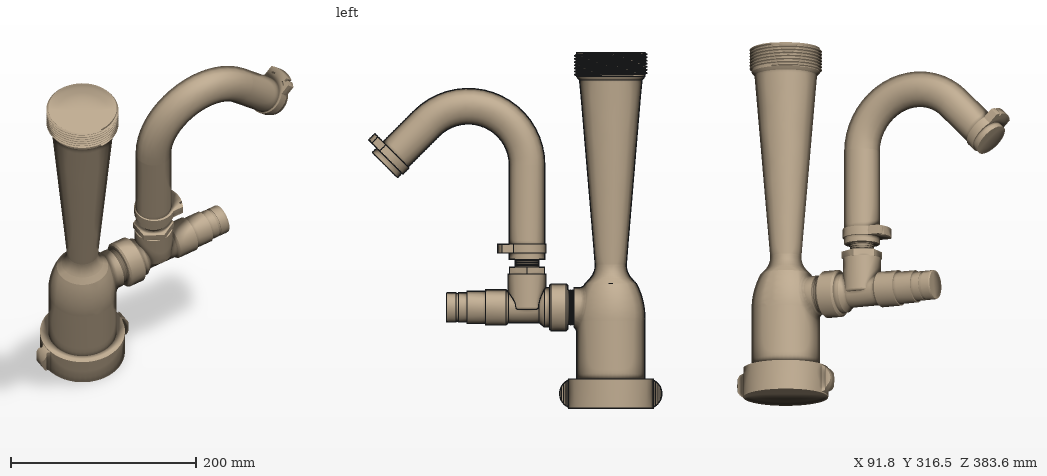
import cadquery as cq
import math

TOTAL_HEIGHT = 383.58

COLLAR_DIAMETER = 91.75
COLLAR_HEIGHT = 31.75
LUG_REACH = 55.22
LUG_SIDE_RADIUS = 16.0
LUG_ROOT_HALF_WIDTH = 6.9
LUG_NECK_HALF_WIDTH = 4.75
LUG_HEAD_HALF_WIDTH = 7.95
LUG_TIP_HALF_WIDTH = 5.2
LUG_NECK_LENGTH = 3.0
LUG_HEAD_FLARE = 2.5
LUG_TIP_CHAMFER = 2.0

BODY_RADIUS = 73.81 / 2
DOME_START = 93.9
DOME_END = 134.4
DOME_END_RADIUS = 27.8
DOME_MIDDLE = (34.4, 117.0)
SHOULDER_TOP = 140.2
SHOULDER_TOP_RADIUS = 22.3
NECK_MIDDLE = (18.4, 146.5)
NECK_TOP = 155.0
NECK_RADIUS = 16.9
NOZZLE_TOP = 354.2
NOZZLE_TOP_RADIUS = 33.8

THREAD_PITCH = 3.387
THREAD_TURNS = 7
THREAD_CREST_RADIUS = 77.9 / 2
THREAD_ROOT_RADIUS = BODY_RADIUS
THREAD_START = 359.1
THREAD_FLANK_OVERLAP = 0.2
THREAD_BASE_WIDTH = 2.9
THREAD_CREST_WIDTH = 0.5
THREAD_RELIEF_HEIGHT = 3.5

BRANCH_HEIGHT = 108.9
BOSS_RADIUS = 42.88 / 2
BOSS_FACE = 39.7
BOSS_FILLET = 6.0
SEARCH_MARGIN = 1.0
RUN_INNER_END = 20.0
GLAND_RADIUS = 37.9 / 2
GLAND_GROOVE_DEPTH = 0.8
GLAND_PITCH = 2.0
NUT_START = 46.2
NUT_END = 66.2
NUT_RADIUS = 50.8 / 2
NUT_CHAMFER = 1.9
SWIVEL_RADIUS = 42.88 / 2
SWIVEL_SHOULDER = 71.5
SWIVEL_CONE_END = 77.3
RUN_RADIUS = 33.34 / 2
TAIL_CONE_START = 110.5
TAIL_START = 113.2
TAIL_RADIUS = 38.48 / 2
SPIGOT_START = 135.1
SPIGOT_RADIUS = 34.92 / 2
TIP_START = 155.2
TIP_RADIUS = 31.75 / 2
TIP_END = 177.4
TIP_CHAMFER_LENGTH = 1.6
TIP_CHAMFER_DEPTH = 0.4
TIP_GROOVE_START = 164.2
TIP_GROOVE_WIDTH = 2.8
TIP_GROOVE_RADIUS = 30.16 / 2

UPRIGHT_Y = 90.3
UPRIGHT_RADIUS = 41.27 / 2
UPRIGHT_BOTTOM = 106.4
UPRIGHT_BOTTOM_FILLET = 2.5
UPRIGHT_TOP = 144.8
HEX_TOP = 152.2
HEX_ACROSS_FLATS = 38.1
STEM_RADIUS = 26.19 / 2
STEM_GROOVE_RADIUS = 23.67 / 2
STEM_PITCH = 2.4
STEM_GROOVE_WIDTH = 1.0

HOSE_RADIUS = 38.48 / 2
HOSE_BOTTOM = 160.8
HOSE_STRAIGHT = 101.6
BEND_START = HOSE_BOTTOM + HOSE_STRAIGHT
BEND_RADIUS = 63.5
BEND_ANGLE = 135.0
OUTLET_STRAIGHT = 63.5

CLAMP_SETBACK = 6.7
CLAMP_WIDTH = 9.5
CLAMP_BAND_RADIUS = 21.8
CLAMP_OFFSET = 1.15
CLAMP_HEAD_REACH = 31.75
CLAMP_HEAD_HALF_WIDTH = 17.0
CLAMP_NOTCH_WIDTH = 2.8
CLAMP_NOTCH_POSITION = 10.4
CLAMP_NOTCH_DEPTH = 5.0
CLAMP_SLOT_LENGTH = 5.5
CLAMP_SLOT_WIDTH = 2.0
CLAMP_SLOT_DEPTH = 3.0
CLAMP_SLOT_RADIUS = 25.3
CLAMP_SLOT_ANGLE = 22.0


def nozzle_and_body():
    """Body, dome, neck, conical nozzle and thread core as one turned solid."""
    profile = (
        cq.Workplane("XZ")
        .moveTo(0, 0)
        .lineTo(BODY_RADIUS, 0)
        .lineTo(BODY_RADIUS, DOME_START)
        .threePointArc(DOME_MIDDLE, (DOME_END_RADIUS, DOME_END))
        .lineTo(SHOULDER_TOP_RADIUS, SHOULDER_TOP)
        .threePointArc(NECK_MIDDLE, (NECK_RADIUS, NECK_TOP))
        .lineTo(NOZZLE_TOP_RADIUS, NOZZLE_TOP)
        .lineTo(THREAD_ROOT_RADIUS, NOZZLE_TOP + THREAD_RELIEF_HEIGHT)
        .lineTo(THREAD_ROOT_RADIUS, TOTAL_HEIGHT)
        .lineTo(0, TOTAL_HEIGHT)
        .close()
    )
    return profile.revolve(360, (0, 0, 0), (0, 1, 0))


def hose_thread():
    """Helical ridge around the thread core, trimmed flush with the top face."""
    inner = THREAD_ROOT_RADIUS - THREAD_FLANK_OVERLAP
    base = THREAD_BASE_WIDTH / 2
    crest = THREAD_CREST_WIDTH / 2
    path = cq.Workplane(
        cq.Wire.makeHelix(THREAD_PITCH, THREAD_PITCH * THREAD_TURNS, THREAD_ROOT_RADIUS)
    )
    ridge = (
        cq.Workplane("XZ")
        .polyline([
            (inner, -base),
            (THREAD_CREST_RADIUS, -crest),
            (THREAD_CREST_RADIUS, crest),
            (inner, base),
        ])
        .close()
        .sweep(path, isFrenet=True)
        .translate((0, 0, THREAD_START))
    )
    envelope = (
        cq.Workplane("XY")
        .circle(COLLAR_DIAMETER / 2)
        .extrude(TOTAL_HEIGHT)
    )
    return ridge.intersect(envelope)


def collar():
    return cq.Workplane("XY").circle(COLLAR_DIAMETER / 2).extrude(COLLAR_HEIGHT)


def lug():
    """Waisted lug on the -Y side of the collar, rounded about X."""
    root = COLLAR_DIAMETER / 2
    half_outline = [
        (LUG_ROOT_HALF_WIDTH, -(root - LUG_NECK_LENGTH)),
        (LUG_ROOT_HALF_WIDTH, -root),
        (LUG_NECK_HALF_WIDTH, -(root + LUG_HEAD_FLARE)),
        (LUG_HEAD_HALF_WIDTH, -(root + 2 * LUG_HEAD_FLARE)),
        (LUG_HEAD_HALF_WIDTH, -(LUG_REACH - LUG_TIP_CHAMFER)),
        (LUG_TIP_HALF_WIDTH, -LUG_REACH),
    ]
    mirrored = [(-x, y) for x, y in reversed(half_outline)]
    blank = cq.Workplane("XY").polyline(half_outline + mirrored).close().extrude(COLLAR_HEIGHT)
    rounding = (
        cq.Workplane("YZ")
        .center(-(LUG_REACH - LUG_SIDE_RADIUS), COLLAR_HEIGHT / 2)
        .circle(LUG_SIDE_RADIUS)
        .extrude(LUG_HEAD_HALF_WIDTH, both=True)
    )
    return blank.intersect(rounding)


def branch_boss():
    return (
        cq.Workplane("XZ", origin=(0, 0, BRANCH_HEIGHT))
        .circle(BOSS_RADIUS)
        .extrude(-BOSS_FACE)
    )


def branch_run():
    """Gland, union nut, tee run and stepped tail, turned about the branch axis."""
    outline = [(RUN_INNER_END, 0), (RUN_INNER_END, GLAND_RADIUS)]
    groove_count = int((NUT_START - BOSS_FACE) / GLAND_PITCH)
    for index in range(groove_count):
        start = BOSS_FACE + index * GLAND_PITCH
        outline += [
            (start, GLAND_RADIUS),
            (start + GLAND_PITCH / 2, GLAND_RADIUS - GLAND_GROOVE_DEPTH),
        ]
    outline += [
        (NUT_START, GLAND_RADIUS),
        (NUT_START, NUT_RADIUS - NUT_CHAMFER),
        (NUT_START + NUT_CHAMFER, NUT_RADIUS),
        (NUT_END - NUT_CHAMFER, NUT_RADIUS),
        (NUT_END, NUT_RADIUS - NUT_CHAMFER),
        (NUT_END, SWIVEL_RADIUS),
        (SWIVEL_SHOULDER, SWIVEL_RADIUS),
        (SWIVEL_CONE_END, RUN_RADIUS),
        (TAIL_CONE_START, RUN_RADIUS),
        (TAIL_START, TAIL_RADIUS),
        (SPIGOT_START, TAIL_RADIUS),
        (SPIGOT_START, SPIGOT_RADIUS),
        (TIP_START, SPIGOT_RADIUS),
        (TIP_START, TIP_RADIUS),
        (TIP_END - TIP_CHAMFER_LENGTH, TIP_RADIUS),
        (TIP_END, TIP_RADIUS - TIP_CHAMFER_DEPTH),
        (TIP_END, 0),
    ]
    run = (
        cq.Workplane("YZ")
        .polyline(outline)
        .close()
        .revolve(360, (0, 0, 0), (1, 0, 0))
        .translate((0, 0, BRANCH_HEIGHT))
    )
    groove = (
        cq.Workplane("XZ", origin=(0, TIP_GROOVE_START, BRANCH_HEIGHT))
        .circle(SPIGOT_RADIUS)
        .circle(TIP_GROOVE_RADIUS)
        .extrude(-TIP_GROOVE_WIDTH)
    )
    return run.cut(groove)


def at_upright(height):
    return cq.Workplane("XY", origin=(0, UPRIGHT_Y, height))


def upright():
    """Tee upright, hexagon and threaded stem that enters the hose."""
    barrel = (
        at_upright(UPRIGHT_BOTTOM)
        .circle(UPRIGHT_RADIUS)
        .extrude(UPRIGHT_TOP - UPRIGHT_BOTTOM)
        .faces("<Z")
        .edges()
        .fillet(UPRIGHT_BOTTOM_FILLET)
    )
    across_corners = HEX_ACROSS_FLATS / math.cos(math.pi / 6)
    hexagon = (
        at_upright(UPRIGHT_TOP)
        .polygon(6, across_corners)
        .extrude(HEX_TOP - UPRIGHT_TOP)
    )
    stem = at_upright(HEX_TOP).circle(STEM_RADIUS).extrude(HOSE_BOTTOM - HEX_TOP)
    for index in range(int((HOSE_BOTTOM - HEX_TOP) / STEM_PITCH)):
        groove = (
            at_upright(HEX_TOP + (index + 1) * STEM_PITCH - STEM_GROOVE_WIDTH / 2)
            .circle(UPRIGHT_RADIUS)
            .circle(STEM_GROOVE_RADIUS)
            .extrude(STEM_GROOVE_WIDTH)
        )
        stem = stem.cut(groove)
    return barrel.union(hexagon).union(stem)


def hose():
    """Hose that rises from the tee, bends over toward +Y and points down at 45 degrees."""
    rise = at_upright(HOSE_BOTTOM).circle(HOSE_RADIUS).extrude(HOSE_STRAIGHT)
    bend = (
        at_upright(BEND_START)
        .circle(HOSE_RADIUS)
        .revolve(BEND_ANGLE, (0, BEND_RADIUS, 0), (-1, BEND_RADIUS, 0))
    )
    outlet = outlet_plane().circle(HOSE_RADIUS).extrude(OUTLET_STRAIGHT)
    return rise.union(bend).union(outlet)


def outlet_plane():
    """Plane at the hose mouth, facing back along the outlet, local Y away from the bend centre."""
    angle = math.radians(BEND_ANGLE)
    along = (math.sin(angle), math.cos(angle))
    mouth_y = UPRIGHT_Y + BEND_RADIUS * (1 - math.cos(angle)) + OUTLET_STRAIGHT * along[0]
    mouth_z = BEND_START + BEND_RADIUS * math.sin(angle) + OUTLET_STRAIGHT * along[1]
    return cq.Workplane(
        cq.Plane(origin=(0, mouth_y, mouth_z), xDir=(1, 0, 0), normal=(0, -along[0], -along[1]))
    )


def clamp(plane):
    """Offset band with a notched head toward the local +Y of the given plane."""
    band = (
        plane.workplane(offset=CLAMP_SETBACK)
        .center(0, CLAMP_OFFSET)
        .circle(CLAMP_BAND_RADIUS)
        .extrude(CLAMP_WIDTH)
    )
    corner = math.sqrt(CLAMP_HEAD_REACH ** 2 - CLAMP_HEAD_HALF_WIDTH ** 2)
    head = (
        plane.workplane(offset=CLAMP_SETBACK)
        .moveTo(-CLAMP_HEAD_HALF_WIDTH, 0)
        .lineTo(-CLAMP_HEAD_HALF_WIDTH, corner)
        .threePointArc((0, CLAMP_HEAD_REACH), (CLAMP_HEAD_HALF_WIDTH, corner))
        .lineTo(CLAMP_HEAD_HALF_WIDTH, 0)
        .close()
        .extrude(CLAMP_WIDTH)
    )
    notch = (
        plane.workplane(offset=CLAMP_SETBACK)
        .center(CLAMP_NOTCH_POSITION, CLAMP_HEAD_REACH)
        .rect(CLAMP_NOTCH_WIDTH, 2 * CLAMP_NOTCH_DEPTH)
        .extrude(CLAMP_WIDTH)
    )
    return band.union(head.cut(notch))


def outlet_clamp():
    """Clamp at the hose mouth, with two blind slots in the face turned toward the bend."""
    body = clamp(outlet_plane())
    slot_floor = CLAMP_SETBACK + CLAMP_WIDTH - CLAMP_SLOT_DEPTH
    for angle in (-CLAMP_SLOT_ANGLE, CLAMP_SLOT_ANGLE):
        slot = (
            outlet_plane()
            .workplane(offset=slot_floor)
            .transformed(rotate=(0, 0, angle))
            .center(0, CLAMP_SLOT_RADIUS)
            .rect(CLAMP_SLOT_LENGTH, CLAMP_SLOT_WIDTH)
            .extrude(CLAMP_SLOT_DEPTH)
        )
        body = body.cut(slot)
    return body


def body_with_boss():
    """Body joined to the branch boss with a fillet round the joint."""
    joined = nozzle_and_body().union(branch_boss())
    reach = BOSS_RADIUS + SEARCH_MARGIN
    joint_zone = cq.selectors.BoxSelector(
        (-reach, SEARCH_MARGIN, BRANCH_HEIGHT - reach),
        (reach, BOSS_FACE - SEARCH_MARGIN, BRANCH_HEIGHT + reach),
        boundingbox=True,
    )
    return joined.edges(joint_zone).fillet(BOSS_FILLET)


result = body_with_boss()
result = result.union(hose_thread())
result = result.union(collar())
result = result.union(lug())
result = result.union(lug().mirror("XZ"))
result = result.union(branch_run())
result = result.union(upright())
result = result.union(hose())
result = result.union(clamp(at_upright(HOSE_BOTTOM)))
result = result.union(outlet_clamp())